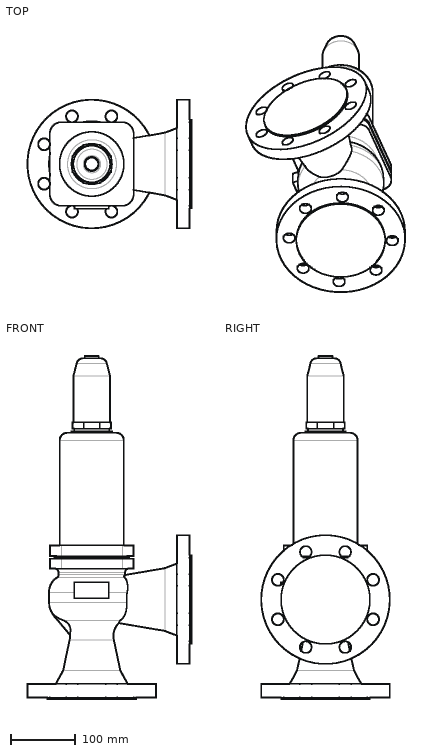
import cadquery as cq
import math

FLANGE_D = 200.0
BOLT_CIRCLE_D = 160.0
BOLT_HOLE_D = 18.0
BOLT_COUNT = 8
RAISED_FACE_D = 138.0
RAISED_FACE_H = 3.0
INLET_FLANGE_T = 21.0
OUTLET_FLANGE_T = 20.0
OUTLET_Z = 155.0
OUTLET_REACH = 155.0

HUB_R = 56.0
INLET_NECK_R = 34.4
INLET_NECK_Z = 93.0
INLET_HUB_R = 44.5
INLET_HUB_Z = 45.0
OUTLET_ROOT_R = 29.5
OUTLET_HUB_R = 48.8
OUTLET_HUB_X = 113.0

BODY_R = 66.5
BODY_LOW_Z = 150.5
BODY_HIGH_Z = 166.5
BELLY_ARC_R = 30.0
BELLY_END_Z = 123.0
SHOULDER_ARC_R = 27.0
SHOULDER_END_Z = 189.5
COLLAR_R = 52.0
COLLAR_LOW_Z = 194.0
COLLAR_HIGH_Z = 197.5
COLLAR_FLARE = 5.5

SQUARE_SIDE = 130.0
SQUARE_CORNER_R = 18.0
BODY_FLANGE_Z = COLLAR_HIGH_Z + COLLAR_FLARE
BODY_FLANGE_T = 15.5
GASKET_R = 58.0
GASKET_T = 1.5
SPIGOT_R = 55.0
SPIGOT_T = 2.5
BONNET_FLANGE_T = 16.5

BONNET_R = 50.0
BONNET_TOP_Z = 414.0
BONNET_FILLET = 12.0
SEAT_R = 31.5
SEAT_T = 2.5
CAP_NECK_R = 27.5
OCTAGON_SIDES = 8
OCTAGON_FLATS = 60.0
OCTAGON_LOW_Z = 420.5
OCTAGON_HIGH_Z = 430.0
CAP_R = 28.5
CAP_CONE_Z = 502.5
CAP_TAPER = 14.5
CAP_FILLET = 10.5
CAP_TOP_Z = 529.7
BUTTON_R = 11.0
BUTTON_CHAMFER = 1.0
TOTAL_H = 533.7

PAD_W = 53.5
PAD_H = 24.5
PAD_Z = 169.3
PAD_FACE = 69.7
DRAIN_D = 40.0
DRAIN_TILT = 40.0
DRAIN_X = -47.0
DRAIN_Z = 115.7
DRAIN_LENGTH = 40.0


def disc(radius, low, high):
    """Round disc on the Z axis between two heights."""
    return cq.Workplane("XY").workplane(offset=low).circle(radius).extrude(high - low)


def pipe_flange(thickness):
    """Drilled flange with its raised face on z = 0 and its back towards +Z."""
    back = RAISED_FACE_H + thickness
    flange = disc(FLANGE_D / 2, RAISED_FACE_H, back)
    holes = (
        cq.Workplane("XY")
        .polarArray(BOLT_CIRCLE_D / 2, 180 / BOLT_COUNT, 360, BOLT_COUNT)
        .circle(BOLT_HOLE_D / 2)
        .extrude(back)
    )
    return flange.cut(holes).union(disc(RAISED_FACE_D / 2, 0, RAISED_FACE_H))


def belly_radius():
    """Radius of the body where its lower bulge turns into the neck sweep."""
    drop = BODY_LOW_Z - BELLY_END_Z
    return BODY_R - BELLY_ARC_R + math.sqrt(BELLY_ARC_R**2 - drop**2)


def shoulder_radius():
    """Radius of the body where its upper bulge meets the collar."""
    rise = SHOULDER_END_Z - BODY_HIGH_Z
    return BODY_R - SHOULDER_ARC_R + math.sqrt(SHOULDER_ARC_R**2 - rise**2)


def body():
    """Inlet nozzle, bulged body and collar as one turned solid."""
    return (
        cq.Workplane("XZ")
        .moveTo(0, RAISED_FACE_H)
        .lineTo(HUB_R, RAISED_FACE_H)
        .lineTo(HUB_R, RAISED_FACE_H + INLET_FLANGE_T)
        .lineTo(INLET_HUB_R, INLET_HUB_Z)
        .lineTo(INLET_NECK_R, INLET_NECK_Z)
        .tangentArcPoint((belly_radius(), BELLY_END_Z), relative=False)
        .radiusArc((BODY_R, BODY_LOW_Z), -BELLY_ARC_R)
        .lineTo(BODY_R, BODY_HIGH_Z)
        .radiusArc((shoulder_radius(), SHOULDER_END_Z), -SHOULDER_ARC_R)
        .tangentArcPoint((COLLAR_R, COLLAR_LOW_Z), relative=False)
        .lineTo(COLLAR_R, COLLAR_HIGH_Z)
        .radiusArc((COLLAR_R + COLLAR_FLARE, BODY_FLANGE_Z), COLLAR_FLARE)
        .lineTo(0, BODY_FLANGE_Z)
        .close()
        .revolve(360, (0, 0), (0, 1))
    )


def outlet():
    """Side nozzle along +X with its flange."""
    flange_back = OUTLET_REACH - RAISED_FACE_H - OUTLET_FLANGE_T
    nozzle = (
        cq.Workplane("XZ")
        .moveTo(0, OUTLET_Z)
        .lineTo(0, OUTLET_Z + OUTLET_ROOT_R)
        .lineTo(OUTLET_HUB_X, OUTLET_Z + OUTLET_HUB_R)
        .lineTo(flange_back, OUTLET_Z + HUB_R)
        .lineTo(flange_back, OUTLET_Z)
        .close()
        .revolve(360, (0, OUTLET_Z), (1, OUTLET_Z))
    )
    flange = (
        pipe_flange(OUTLET_FLANGE_T)
        .rotate((0, 0, 0), (0, 1, 0), -90)
        .translate((OUTLET_REACH, 0, OUTLET_Z))
    )
    return nozzle.union(flange)


def square_flange(low, thickness):
    """Square plate with rounded corners standing on height `low`."""
    return (
        cq.Workplane("XY")
        .workplane(offset=low)
        .rect(SQUARE_SIDE, SQUARE_SIDE)
        .extrude(thickness)
        .edges("|Z")
        .fillet(SQUARE_CORNER_R)
    )


def flange_joint():
    """The two square flanges with the gasket and spigot between them."""
    gasket_z = BODY_FLANGE_Z + BODY_FLANGE_T
    spigot_z = gasket_z + GASKET_T
    bonnet_flange_z = spigot_z + SPIGOT_T
    return (
        square_flange(BODY_FLANGE_Z, BODY_FLANGE_T)
        .union(disc(GASKET_R, gasket_z, spigot_z))
        .union(disc(SPIGOT_R, spigot_z, bonnet_flange_z))
        .union(square_flange(bonnet_flange_z, BONNET_FLANGE_T))
    )


def bonnet():
    """Spring housing with a rounded upper edge."""
    low = BODY_FLANGE_Z + BODY_FLANGE_T + GASKET_T + SPIGOT_T
    return disc(BONNET_R, low, BONNET_TOP_Z).faces(">Z").edges().fillet(BONNET_FILLET)


def cap():
    """Octagonal cap with a tapered, rounded top and a centre button."""
    cone_top_r = CAP_R - (CAP_TOP_Z - CAP_CONE_Z) * math.tan(math.radians(CAP_TAPER))
    seat_top = BONNET_TOP_Z + SEAT_T
    octagon = (
        cq.Workplane("XY")
        .workplane(offset=OCTAGON_LOW_Z)
        .polygon(OCTAGON_SIDES, OCTAGON_FLATS, circumscribed=True)
        .extrude(OCTAGON_HIGH_Z - OCTAGON_LOW_Z)
    )
    shell = (
        cq.Workplane("XZ")
        .moveTo(0, OCTAGON_HIGH_Z)
        .lineTo(CAP_R, OCTAGON_HIGH_Z)
        .lineTo(CAP_R, CAP_CONE_Z)
        .lineTo(cone_top_r, CAP_TOP_Z)
        .lineTo(0, CAP_TOP_Z)
        .close()
        .revolve(360, (0, 0), (0, 1))
        .faces(">Z")
        .edges()
        .fillet(CAP_FILLET)
    )
    button = disc(BUTTON_R, CAP_TOP_Z, TOTAL_H).faces(">Z").edges().chamfer(BUTTON_CHAMFER)
    return (
        disc(SEAT_R, BONNET_TOP_Z, seat_top)
        .union(disc(CAP_NECK_R, seat_top, OCTAGON_LOW_Z))
        .union(octagon)
        .union(shell)
        .union(button)
    )


def name_plate_pad():
    """Flat rectangular pad on the -Y side of the body."""
    return cq.Workplane("XY").box(PAD_W, PAD_FACE, PAD_H).translate((0, -PAD_FACE / 2, PAD_Z))


def drain_boss():
    """Round boss on the -X side whose flat face points outward and down."""
    tilt = math.radians(DRAIN_TILT)
    inward = cq.Vector(math.cos(tilt), 0, math.sin(tilt))
    face_centre = cq.Vector(DRAIN_X, 0, DRAIN_Z)
    return cq.Workplane(cq.Solid.makeCylinder(DRAIN_D / 2, DRAIN_LENGTH, face_centre, inward))


result = (
    body()
    .union(pipe_flange(INLET_FLANGE_T))
    .union(outlet())
    .union(flange_joint())
    .union(bonnet())
    .union(cap())
    .union(name_plate_pad())
    .union(drain_boss())
)